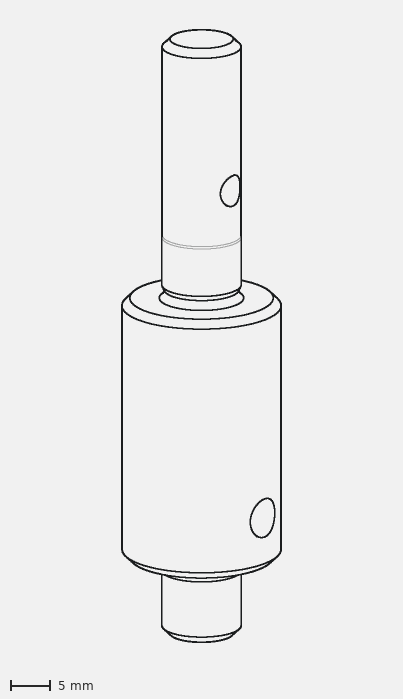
import cadquery as cq
import math

stub_length = 10.0
body_length = 34.0
shaft_length = 34.0
pin_radius = 5.0
body_radius = 10.0
edge_chamfer = 1.0

body_bottom = stub_length
body_top = body_bottom + body_length
shaft_top = body_top + shaft_length

seat_top = body_top + 8.0
relief_depth = 0.03
relief_taper_length = 0.3
relieved_radius = pin_radius - relief_depth

undercut_width = 1.75
undercut_radius = pin_radius - 0.3
flare_rim_radius = pin_radius + 0.3
flare_height = 1.1

body_hole_diameter = 5.0
body_hole_height = body_bottom + 7.0
shaft_hole_diameter = 4.0
shaft_hole_height = body_top + 15.0


def flare_middle(shoulder, outward):
    """Midpoint of the flare's arc; outward (+1 or -1) points from the body along the pin."""
    sweep = 2 * math.atan((flare_rim_radius - undercut_radius) / flare_height)
    arc_radius = flare_height / math.sin(sweep)
    radius = undercut_radius + arc_radius * (1 - math.cos(sweep / 2))
    height = flare_height - arc_radius * math.sin(sweep / 2)
    return (radius, shoulder + outward * height)


def turned_pin():
    """Revolve the stepped outline, from the stub's end up to the shaft's end."""
    outline = (
        cq.Workplane("XZ")
        .lineTo(pin_radius - edge_chamfer, 0)
        .lineTo(pin_radius, edge_chamfer)
        .lineTo(pin_radius, body_bottom - undercut_width)
        .lineTo(undercut_radius, body_bottom - flare_height)
        .threePointArc(flare_middle(body_bottom, -1), (flare_rim_radius, body_bottom))
        .lineTo(body_radius - edge_chamfer, body_bottom)
        .lineTo(body_radius, body_bottom + edge_chamfer)
        .lineTo(body_radius, body_top - edge_chamfer)
        .lineTo(body_radius - edge_chamfer, body_top)
        .lineTo(flare_rim_radius, body_top)
        .threePointArc(flare_middle(body_top, 1), (undercut_radius, body_top + flare_height))
        .lineTo(pin_radius, body_top + undercut_width)
        .lineTo(pin_radius, seat_top)
        .lineTo(relieved_radius, seat_top + relief_taper_length)
        .lineTo(relieved_radius, shaft_top - edge_chamfer)
        .lineTo(relieved_radius - edge_chamfer, shaft_top)
        .lineTo(0, shaft_top)
        .close()
    )
    return outline.revolve(360, (0, 0), (0, 1))


def cross_hole(diameter, height):
    """Cutter for a hole right through the part along X."""
    return (
        cq.Workplane("YZ")
        .center(0, height)
        .circle(diameter / 2)
        .extrude(body_radius, both=True)
    )


result = (
    turned_pin()
    .cut(cross_hole(body_hole_diameter, body_hole_height))
    .cut(cross_hole(shaft_hole_diameter, shaft_hole_height))
)